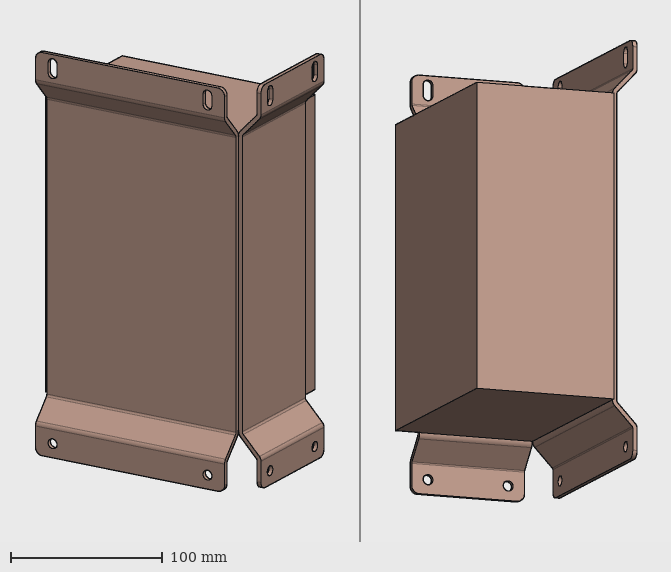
import cadquery as cq
import math

box_width = 149.2
box_depth = 97.0
box_height = 206.1

total_height = 282.0
sheet = 3.0
flange_offset = 17.5
bend_angle = 43.5
plate_bend_radius = 2.5
flange_bend_radius = 1.5
corner_radius = 5.0

front_plate_inset = 2.8
side_plate_width = 79.8

hole_diameter = 6.8
slot_length = 13.8
hole_end_distance = 10.0
front_hole_edge = 13.3
side_hole_edge = 11.5


def half_profile():
    """Stepped strip from mid-height to the top end, as (outward, Z) points."""
    half_height = total_height / 2
    bend_start = box_height / 2
    angle = math.radians(bend_angle)
    inner_flange = flange_offset - sheet
    plate_outer_radius = plate_bend_radius + sheet
    flange_outer_radius = flange_bend_radius + sheet

    radii = plate_outer_radius + flange_bend_radius
    slope = (inner_flange - radii * (1 - math.cos(angle))) / math.sin(angle)
    bend_end = bend_start + radii * math.sin(angle) + slope * math.cos(angle)
    plate_centre = plate_outer_radius
    flange_centre = inner_flange - flange_bend_radius

    def plate_arc(radius, turn):
        return (plate_centre - radius * math.cos(turn), bend_start + radius * math.sin(turn))

    def flange_arc(radius, turn):
        return (flange_centre + radius * math.cos(turn), bend_end - radius * math.sin(turn))

    return (
        cq.Workplane("XZ")
        .moveTo(0, 0)
        .lineTo(0, bend_start)
        .threePointArc(plate_arc(plate_outer_radius, angle / 2), plate_arc(plate_outer_radius, angle))
        .lineTo(*flange_arc(flange_bend_radius, angle))
        .threePointArc(flange_arc(flange_bend_radius, angle / 2), (inner_flange, bend_end))
        .lineTo(inner_flange, half_height)
        .lineTo(flange_offset, half_height)
        .lineTo(flange_offset, bend_end)
        .threePointArc(flange_arc(flange_outer_radius, angle / 2), flange_arc(flange_outer_radius, angle))
        .lineTo(*plate_arc(plate_bend_radius, angle))
        .threePointArc(plate_arc(plate_bend_radius, angle / 2), (sheet, bend_start))
        .lineTo(sheet, 0)
        .close()
    )


def make_bracket(width, hole_edge):
    """Bracket facing +X, inner face on X = 0, spanning Y = 0 to width."""
    upper_half = half_profile().extrude(-width)
    bracket = upper_half.union(upper_half.mirror("XY"))
    bracket = bracket.edges("|X and (>Z or <Z)").edges("<Y or >Y").fillet(corner_radius)

    hole_height = total_height / 2 - hole_end_distance
    for y in (hole_edge, width - hole_edge):
        face = cq.Workplane("YZ")
        slot = face.center(y, hole_height).slot2D(slot_length, hole_diameter, 90).extrude(flange_offset)
        hole = face.center(y, -hole_height).circle(hole_diameter / 2).extrude(flange_offset)
        bracket = bracket.cut(slot).cut(hole)
    return bracket


box = cq.Workplane("XY").box(box_width, box_depth, box_height, centered=(False, False, True))

side_bracket = make_bracket(side_plate_width, side_hole_edge).translate((box_width, 0, 0))

front_bracket = (
    make_bracket(box_width - front_plate_inset, front_hole_edge)
    .rotate((0, 0, 0), (0, 0, 1), -90)
    .translate((front_plate_inset, 0, 0))
)

result = box.union(side_bracket).union(front_bracket)